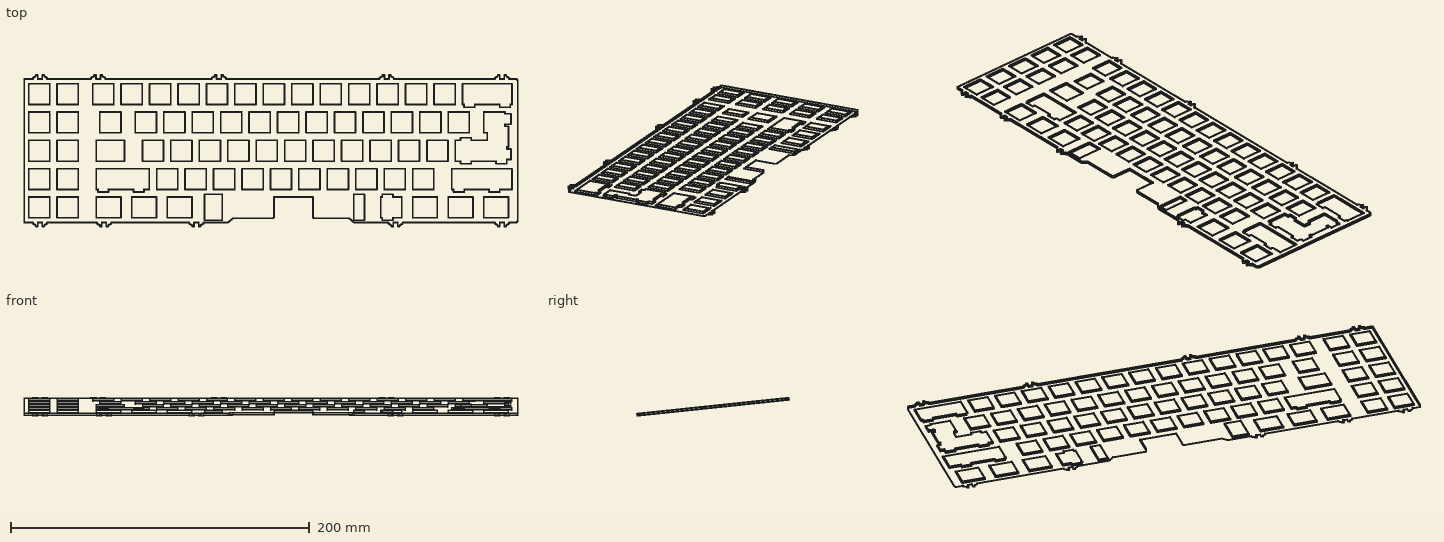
import cadquery as cq

PLATE_LENGTH = 330.61
PLATE_DEPTH = 96.6
THICKNESS = 1.5
TYPING_ANGLE = 6.0
RIGHT_CORNER_RADIUS = 1.5

KEY_UNIT = 19.05
ENTER_ROW = 3
MIDDLE_ROW = 3
SPACE_ROW = 5
GRID_LEFT = -164.75
SWITCH_SIZE = 14.0
SWITCH_HALF = SWITCH_SIZE / 2

STAB_WIDTH = 7.0
STAB_REACH = 8.75
SHORT_STAB_OFFSET = 11.9
SPACE_625_STAB_OFFSET = 50.0
SPACE_700_STAB_OFFSET = 57.15

RELIEF_DEPTH = 2.9
RELIEF_RUN = 3.4
RELIEF_LEFT = -25.4
RELIEF_RIGHT = 52.2
RELIEF_CORNER_RADIUS = 1.0

CLIP_OVERALL_DEPTH = 102.25
CLIP_REACH = (CLIP_OVERALL_DEPTH - PLATE_DEPTH) / 2
PRONG_WIDTH = 1.4
PRONG_GAP = 2.9
CLIP_FOOT_WIDTH = 2.0
CLIP_FOOT_SIDE_HEIGHT = 0.8
CLIP_FOOT_TOP_HEIGHT = 1.8
CLIP_ROOT = 0.5


def key_x(units):
    """X of a place on the key grid."""
    return GRID_LEFT + units * KEY_UNIT


def row_y(row):
    """Y of the middle of a key row, with row 1 at the back and row 5 at the front."""
    return (MIDDLE_ROW - row) * KEY_UNIT


SPACE_625_CENTER = 9.125
SPACE_700_CENTER = 9.75

MACRO_KEYS = [0.5, 1.5]
SINGLE_KEYS = {
    1: MACRO_KEYS + [2.75 + i for i in range(13)],
    2: MACRO_KEYS + [3.0] + [4.25 + i for i in range(12)] + [16.5],
    3: MACRO_KEYS + [4.5 + i for i in range(11)],
    4: MACRO_KEYS + [5.0 + i for i in range(10)],
    5: MACRO_KEYS + [12.875],
}

WIDE_KEYS = [
    (1, 15.75, 16.75),
    (3, 2.875, 3.125),
    (3, 15.5, 16.125),
    (4, 2.875, 4.0),
    (4, 15.375, 16.75),
    (5, 2.875, 3.0),
    (5, 4.125, 4.25),
    (5, 5.375, 5.5),
    (5, 14.0, 14.125),
    (5, 15.25, 15.375),
    (5, 16.5, 16.625),
]

FORWARD_STAB_KEYS = [(1, 16.25), (4, 3.375), (4, 15.875)]

ENTER_CENTER = 16.125
TALL_ENTER_CENTER = 16.625
TALL_ENTER_Y = (row_y(2) + row_y(3)) / 2

END_CLIP_X = 154.7
END_CLIPS = [-END_CLIP_X, END_CLIP_X]
BACK_CLIPS = END_CLIPS + [-115.7, -34.9, 77.5]
FRONT_CLIPS = END_CLIPS + [-111.8, -50.0, 83.4]


def opening(left, right, front, back):
    """Rectangular cutter through the plate."""
    cutter = cq.Workplane("XY").box(right - left, back - front, 2 * THICKNESS)
    return cutter.translate(((left + right) / 2, (front + back) / 2, 0)).val()


def switch_opening(row, first, last):
    """Opening one switch high, spanning the switches centred on first and last."""
    y = row_y(row)
    return opening(
        key_x(first) - SWITCH_HALF,
        key_x(last) + SWITCH_HALF,
        y - SWITCH_HALF,
        y + SWITCH_HALF,
    )


def stab_pair(row, center, offset, back_reach):
    """Two stabilizer openings at equal offsets from a key centre."""
    y = row_y(row)
    openings = []
    for side in (-1, 1):
        x = key_x(center) + side * offset
        openings.append(
            opening(x - STAB_WIDTH / 2, x + STAB_WIDTH / 2, y - STAB_REACH, y + back_reach)
        )
    return openings


def switch_openings():
    """All the openings one switch high."""
    openings = []
    for row, centers in SINGLE_KEYS.items():
        for center in centers:
            openings.append(switch_opening(row, center, center))
    for row, first, last in WIDE_KEYS:
        openings.append(switch_opening(row, first, last))
    return openings


def stab_openings():
    """Stabilizer openings of the keys that lie along one row."""
    openings = []
    for row, center in FORWARD_STAB_KEYS:
        openings += stab_pair(row, center, SHORT_STAB_OFFSET, SWITCH_HALF)
    openings += stab_pair(ENTER_ROW, ENTER_CENTER, SHORT_STAB_OFFSET, STAB_REACH)
    openings += stab_pair(SPACE_ROW, SPACE_625_CENTER, SPACE_625_STAB_OFFSET, STAB_REACH)
    openings += stab_pair(SPACE_ROW, SPACE_700_CENTER, SPACE_700_STAB_OFFSET, STAB_REACH)
    return openings


def tall_enter_openings():
    """Switch between rows 2 and 3, its sideways stabilizers, and the link to the enter stabilizer."""
    x = key_x(TALL_ENTER_CENTER)
    y = TALL_ENTER_Y
    openings = [opening(x - SWITCH_HALF, x + SWITCH_HALF, y - SWITCH_HALF, y + SWITCH_HALF)]
    for side in (-1, 1):
        stab_y = y + side * SHORT_STAB_OFFSET
        openings.append(
            opening(x - STAB_REACH, x + STAB_REACH, stab_y - STAB_WIDTH / 2, stab_y + STAB_WIDTH / 2)
        )
    enter_stab_x = key_x(ENTER_CENTER) + SHORT_STAB_OFFSET
    enter_y = row_y(ENTER_ROW)
    openings.append(
        opening(key_x(ENTER_CENTER), enter_stab_x, enter_y - SWITCH_HALF, enter_y + SWITCH_HALF)
    )
    return openings


def plate_blank():
    """Plate with the space bar relief, and the space bar bay open to the front."""
    left = -PLATE_LENGTH / 2
    right = PLATE_LENGTH / 2
    back = PLATE_DEPTH / 2
    front = -back
    relief_front = front + RELIEF_DEPTH
    bay_left = key_x(SPACE_625_CENTER) - SWITCH_HALF
    bay_right = key_x(SPACE_700_CENTER) + SWITCH_HALF
    bay_back = row_y(SPACE_ROW) + SWITCH_HALF
    blank = (
        cq.Workplane("XY")
        .polyline(
            [
                (left, front),
                (RELIEF_LEFT - RELIEF_RUN, front),
                (RELIEF_LEFT, relief_front),
                (bay_left, relief_front),
                (bay_left, bay_back),
                (bay_right, bay_back),
                (bay_right, relief_front),
                (RELIEF_RIGHT, relief_front),
                (RELIEF_RIGHT + RELIEF_RUN, front),
                (right, front),
                (right, back),
                (left, back),
            ]
        )
        .close()
        .extrude(THICKNESS / 2, both=True)
    )
    blank = blank.edges("|Z and >X").fillet(RIGHT_CORNER_RADIUS)
    for x in (bay_left, bay_right):
        corner = cq.selectors.NearestToPointSelector((x, relief_front, 0))
        blank = blank.edges("|Z").edges(corner).fillet(RELIEF_CORNER_RADIUS)
    return blank


def prong(side):
    """One clip prong standing on the line y = 0, on the given side of the clip centre."""
    inner = side * PRONG_GAP / 2
    outer = inner + side * PRONG_WIDTH
    tip_y = CLIP_REACH - PRONG_WIDTH / 2
    foot = outer + side * CLIP_FOOT_WIDTH
    return (
        cq.Workplane("XY")
        .moveTo(inner, -CLIP_ROOT)
        .lineTo(inner, tip_y)
        .threePointArc(((inner + outer) / 2, CLIP_REACH), (outer, tip_y))
        .lineTo(outer, CLIP_FOOT_TOP_HEIGHT)
        .lineTo(foot, CLIP_FOOT_SIDE_HEIGHT)
        .lineTo(foot, -CLIP_ROOT)
        .close()
        .extrude(THICKNESS / 2, both=True)
    )


def clips():
    """All the clips, in place along the back and front edges."""
    clip = prong(-1).add(prong(1))
    back_clip = clip.translate((0, PLATE_DEPTH / 2, 0))
    front_clip = back_clip.rotate((0, 0, 0), (0, 0, 1), 180)
    solids = []
    for x in BACK_CLIPS:
        solids += back_clip.translate((x, 0, 0)).vals()
    for x in FRONT_CLIPS:
        solids += front_clip.translate((x, 0, 0)).vals()
    return solids


blank = plate_blank().val().fuse(*clips())
plate = blank.cut(*switch_openings(), *stab_openings(), *tall_enter_openings()).clean()
result = cq.Workplane(plate.Solids()[0]).rotate((0, 0, 0), (1, 0, 0), TYPING_ANGLE)